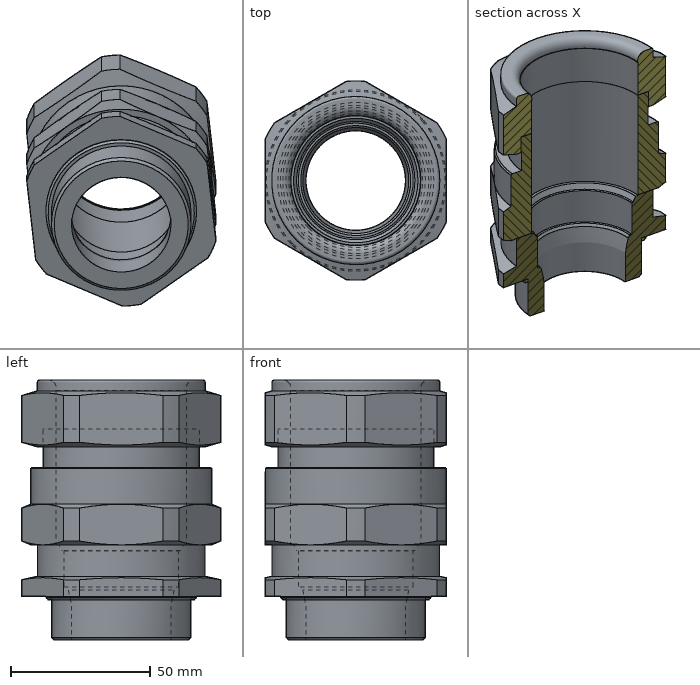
import cadquery as cq
import math

ACROSS_FLATS = 65.0
ACROSS_CORNERS = 71.5
CORNER_RADIUS = ACROSS_CORNERS / 2

TOTAL_HEIGHT = 93.35
WASHER_BOTTOM = 14.5
ENTRY_HEX_BOTTOM = 15.75
ENTRY_HEX_TOP = 22.9
BODY_BOTTOM = 34.2
BODY_HEX_TOP = 48.75
FLANGE_TOP = 62.0
CAP_BOTTOM = 69.35
NECK_TOP = 75.7
CAP_HEX_TOP = 89.35

CAP_LIP_RADIUS = 30.15
CAP_LIP_ROUND = 1.0
CAP_BEVEL_RADIUS = 30.3
CAP_BEVEL_ANGLE = 16.5
CAP_MOUTH_RADIUS = 23.2
CAP_MOUTH_ROUND = 3.2
CAP_MOUTH_LAND = 0.6

NECK_RADIUS = 28.0
BORE_RADIUS = 23.4
FLANGE_RADIUS = ACROSS_FLATS / 2
FLANGE_CHAMFER = 0.5
BODY_BEVEL_RADIUS = FLANGE_RADIUS
BODY_BEVEL_ANGLE = 22.5

COLLAR_RADIUS = 30.1
ENTRY_BEVEL_RADIUS = 30.4
ENTRY_BEVEL_ANGLE = 13.0
SPIGOT_RADIUS = 25.0
SPIGOT_CHAMFER = 1.0
ENTRY_MOUTH_RADIUS = 22.3
ENTRY_MOUTH_STEP_RADIUS = 21.2
ENTRY_MOUTH_STEP_DEPTH = 2.0
ENTRY_BORE_RADIUS = 20.6
ENTRY_BORE_BEVEL_DEPTH = 0.2
SEAT_HEIGHT = 19.0
SEAT_RADIUS = 19.7
SEAT_BEVEL_RADIUS = 19.0
SEAT_BEVEL_DEPTH = 1.0
THROAT_RADIUS = 17.8
THROAT_TAPER_HEIGHT = 6.0

WASHER_RADIUS = 27.0
WASHER_CHAMFER = 0.8


def cylinder(radius, bottom, top):
    return cq.Workplane("XY").workplane(offset=bottom).circle(radius).extrude(top - bottom)


def revolve_profile(profile):
    return profile.close().revolve(360, (0, 0, 0), (0, 1, 0))


def hexagon(bottom, top, bevel_radius, bevel_angle, bevel_bottom=True):
    """Hexagon with flats facing +X and -X, turned corners and conical end bevels."""
    height = top - bottom
    prism = (
        cq.Workplane("XY")
        .workplane(offset=bottom)
        .polygon(6, ACROSS_FLATS, circumscribed=True)
        .extrude(height)
    )
    drop = (CORNER_RADIUS - bevel_radius) * math.tan(math.radians(bevel_angle))
    envelope = cq.Workplane("XZ").moveTo(0, bottom)
    if bevel_bottom:
        envelope = envelope.lineTo(bevel_radius, bottom).lineTo(CORNER_RADIUS, bottom + drop)
    else:
        envelope = envelope.lineTo(CORNER_RADIUS, bottom)
    envelope = envelope.lineTo(CORNER_RADIUS, top - drop).lineTo(bevel_radius, top).lineTo(0, top)
    return prism.intersect(revolve_profile(envelope))


def make_cap():
    nut = hexagon(CAP_BOTTOM, CAP_HEX_TOP, CAP_BEVEL_RADIUS, CAP_BEVEL_ANGLE)
    lip = cylinder(CAP_LIP_RADIUS, CAP_HEX_TOP, TOTAL_HEIGHT).faces(">Z").edges().fillet(CAP_LIP_ROUND)
    round_bottom = TOTAL_HEIGHT - CAP_MOUTH_ROUND
    land_bottom = round_bottom - CAP_MOUTH_LAND
    round_center_radius = CAP_MOUTH_RADIUS + CAP_MOUTH_ROUND
    round_middle = (
        round_center_radius - CAP_MOUTH_ROUND * math.cos(math.radians(45)),
        round_bottom + CAP_MOUTH_ROUND * math.sin(math.radians(45)),
    )
    opening = revolve_profile(
        cq.Workplane("XZ")
        .moveTo(0, CAP_BOTTOM)
        .lineTo(NECK_RADIUS, CAP_BOTTOM)
        .lineTo(NECK_RADIUS, NECK_TOP)
        .lineTo(BORE_RADIUS, NECK_TOP)
        .lineTo(BORE_RADIUS, land_bottom)
        .lineTo(CAP_MOUTH_RADIUS, land_bottom)
        .lineTo(CAP_MOUTH_RADIUS, round_bottom)
        .threePointArc(round_middle, (round_center_radius, TOTAL_HEIGHT))
        .lineTo(0, TOTAL_HEIGHT)
    )
    return nut.union(lip).cut(opening)


def make_body():
    nut = hexagon(BODY_BOTTOM, BODY_HEX_TOP, BODY_BEVEL_RADIUS, BODY_BEVEL_ANGLE)
    flange = cylinder(FLANGE_RADIUS, BODY_HEX_TOP, FLANGE_TOP).faces(">Z").edges().chamfer(FLANGE_CHAMFER)
    neck = cylinder(NECK_RADIUS, FLANGE_TOP, NECK_TOP)
    bore = cylinder(BORE_RADIUS, BODY_BOTTOM, NECK_TOP)
    return nut.union(flange).union(neck).cut(bore)


def make_entry():
    spigot = cylinder(SPIGOT_RADIUS, 0, ENTRY_HEX_BOTTOM).faces("<Z").edges().chamfer(SPIGOT_CHAMFER)
    nut = hexagon(
        ENTRY_HEX_BOTTOM, ENTRY_HEX_TOP, ENTRY_BEVEL_RADIUS, ENTRY_BEVEL_ANGLE, bevel_bottom=False
    )
    collar = cylinder(COLLAR_RADIUS, ENTRY_HEX_TOP, BODY_BOTTOM)
    step_height = BODY_BOTTOM - ENTRY_MOUTH_STEP_DEPTH
    opening = revolve_profile(
        cq.Workplane("XZ")
        .moveTo(0, 0)
        .lineTo(THROAT_RADIUS, 0)
        .lineTo(THROAT_RADIUS, SEAT_HEIGHT - SEAT_BEVEL_DEPTH - THROAT_TAPER_HEIGHT)
        .lineTo(SEAT_BEVEL_RADIUS, SEAT_HEIGHT - SEAT_BEVEL_DEPTH)
        .lineTo(SEAT_RADIUS, SEAT_HEIGHT)
        .lineTo(ENTRY_BORE_RADIUS, SEAT_HEIGHT)
        .lineTo(ENTRY_BORE_RADIUS, step_height - ENTRY_BORE_BEVEL_DEPTH)
        .lineTo(ENTRY_MOUTH_STEP_RADIUS, step_height)
        .lineTo(ENTRY_MOUTH_RADIUS, BODY_BOTTOM)
        .lineTo(0, BODY_BOTTOM)
    )
    return spigot.union(nut).union(collar).cut(opening)


def make_washer():
    ring = cylinder(WASHER_RADIUS, WASHER_BOTTOM, ENTRY_HEX_BOTTOM)
    ring = ring.faces("<Z").edges().chamfer(WASHER_CHAMFER)
    return ring.cut(cylinder(SPIGOT_RADIUS, WASHER_BOTTOM, ENTRY_HEX_BOTTOM))


cap = make_cap()
body = make_body()
entry = make_entry()
washer = make_washer()

result = cq.Compound.makeCompound([cap.val(), body.val(), entry.val(), washer.val()])